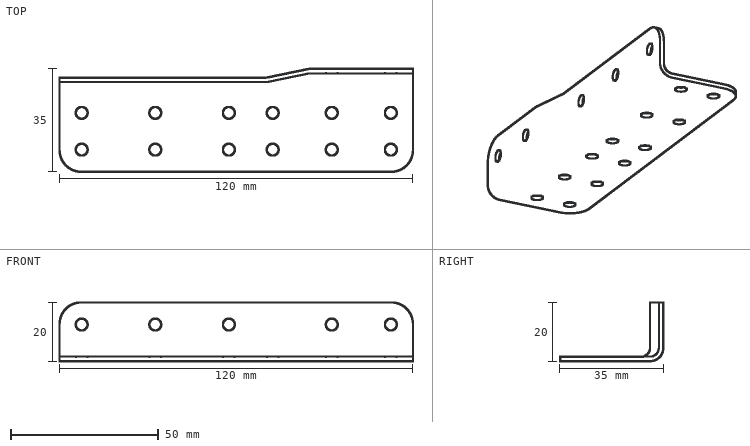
import cadquery as cq
import math

length = 120.0
depth = 35.0
height = 20.0
thickness = 1.5

inner_bend_radius = 3.0
outer_bend_radius = inner_bend_radius + thickness
jog_inner_radius = 3.6
jog_outer_radius = jog_inner_radius + thickness

jog_start = 70.3
jog_length = 14.5
jog_offset = 3.0
jog_end = jog_start + jog_length
jog_angle = math.atan2(jog_offset, jog_length)

hollow_overrun = 1.2

corner_radius = 7.5
hole_diameter = 4.0
hole_margin = 7.5
left_pitch = 25.0
right_pitch = 20.0
row_pitch = 12.5

left_columns = [hole_margin + i * left_pitch for i in range(3)]
right_columns = [length - hole_margin - i * right_pitch for i in range(3)]
wall_columns = left_columns + right_columns[:2]
flange_rows = [hole_margin, hole_margin + row_pitch]


def jogged_block(inset, bottom, start_radius, end_radius, edge_radius, overrun=0):
    """Block whose back follows the jog, with its lower back edge rounded."""
    shift = inset * math.tan(jog_angle / 2)
    back = depth - inset
    first_x = jog_start + shift
    second_x = jog_end + shift
    block = (
        cq.Workplane("XY", origin=(0, 0, bottom))
        .moveTo(-overrun, -overrun)
        .lineTo(length + overrun, -overrun)
        .lineTo(length + overrun, back)
        .lineTo(second_x, back)
        .lineTo(first_x, back - jog_offset)
        .lineTo(-overrun, back - jog_offset)
        .close()
        .extrude(height + overrun - bottom)
    )
    middle_z = (bottom + height + overrun) / 2
    for x, y, radius in (
        (first_x, back - jog_offset, start_radius),
        (second_x, back, end_radius),
    ):
        block = block.edges(cq.selectors.NearestToPointSelector((x, y, middle_z))).fillet(radius)
    lower_back_edge = block.faces("<Z").edges("|X").edges(">Y")
    return lower_back_edge.fillet(edge_radius)


outside = jogged_block(0, 0, jog_inner_radius, jog_outer_radius, outer_bend_radius)
inside = jogged_block(
    thickness,
    thickness,
    jog_outer_radius,
    jog_inner_radius,
    inner_bend_radius,
    overrun=hollow_overrun,
)
bracket = outside.cut(inside)

flange_corners = bracket.faces("<Y").edges("|Z")
bracket = flange_corners.fillet(corner_radius)
wall_corners = bracket.faces(">Z").edges("|Y")
bracket = wall_corners.fillet(corner_radius)

flange_points = [(x, y) for x in left_columns + right_columns for y in flange_rows]
flange_drills = cq.Workplane("XY").pushPoints(flange_points).circle(hole_diameter / 2).extrude(thickness)

wall_points = [(x, height - hole_margin) for x in wall_columns]
wall_drills = (
    cq.Workplane("XZ", origin=(0, depth, 0))
    .pushPoints(wall_points)
    .circle(hole_diameter / 2)
    .extrude(jog_offset + 2 * thickness)
)

result = bracket.cut(flange_drills).cut(wall_drills)